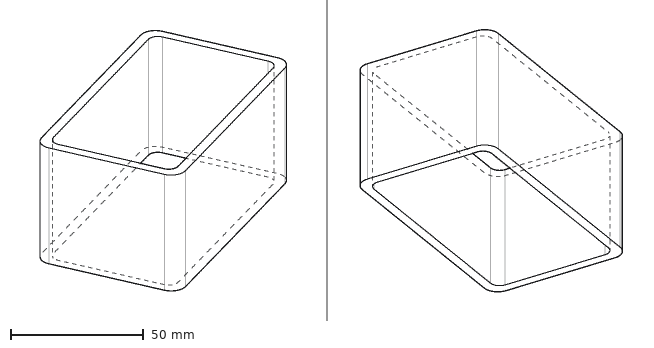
import cadquery as cq

width = 60.0
length = 100.0
height = 50.0
wall = 4.0
outer_radius = 6.0
inner_radius = 4.0


def rounded_block(size_x, size_y, corner_radius):
    """Full-height block with rounded vertical edges, standing on Z = 0."""
    block = cq.Workplane("XY").rect(size_x, size_y).extrude(height)
    return block.edges("|Z").fillet(corner_radius)


outer_body = rounded_block(width, length, outer_radius)
opening = rounded_block(width - 2 * wall, length - 2 * wall, inner_radius)

result = outer_body.cut(opening)